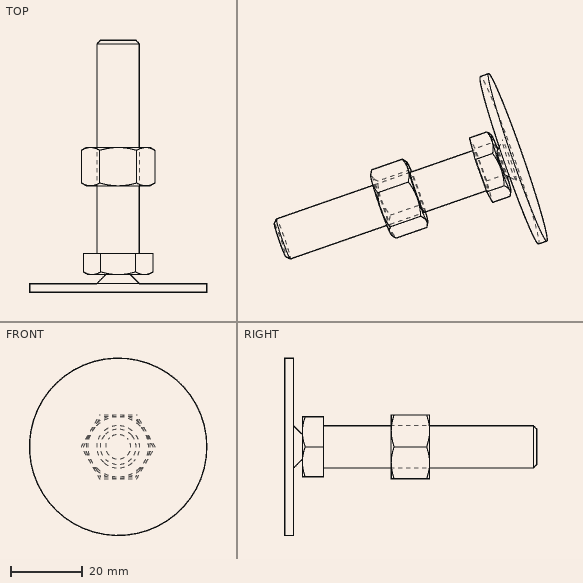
import cadquery as cq
import math


plate_diameter = 50.0
plate_thickness = 2.5

neck_length = 2.5
neck_base_diameter = 12.0
neck_top_diameter = 7.0
hexagon_across_flats = 17.0
hexagon_height = 6.0
rod_diameter = 12.0
rod_length = 60.0
rod_end_chamfer = 1.0

nut_across_flats = 18.0
nut_height = 10.8
nut_gap_above_hexagon = 19.0

hexagon_sides = 6
corner_chamfer_angle = math.radians(30.0)

neck_start = plate_thickness
hexagon_start = neck_start + neck_length
rod_start = hexagon_start + hexagon_height
nut_start = rod_start + nut_gap_above_hexagon


def plane_across_axis(y):
    """Workplane square to the Y axis, facing +Y."""
    return cq.Workplane(cq.Plane(origin=(0, y, 0), xDir=(1, 0, 0), normal=(0, 1, 0)))


def cylinder(diameter, start, length):
    """Cylinder around the Y axis, running from start towards +Y."""
    return plane_across_axis(start).circle(diameter / 2).extrude(length)


def chamfered_hexagon(across_flats, start, height, chamfer_far_end):
    """Hexagonal prism with corners on X, turned at its lower end and, if asked, its far end."""
    inner_radius = across_flats / 2
    corner_radius = inner_radius / math.cos(math.pi / hexagon_sides)
    chamfer_depth = (corner_radius - inner_radius) * math.tan(corner_chamfer_angle)
    end = start + height

    prism = plane_across_axis(start).polygon(hexagon_sides, 2 * corner_radius).extrude(height)

    envelope = (
        cq.Workplane("XY")
        .moveTo(0, start)
        .lineTo(inner_radius, start)
        .lineTo(corner_radius, start + chamfer_depth)
    )
    if chamfer_far_end:
        envelope = envelope.lineTo(corner_radius, end - chamfer_depth).lineTo(inner_radius, end)
    else:
        envelope = envelope.lineTo(corner_radius, end)
    envelope = envelope.lineTo(0, end).close().revolve(360, (0, 0), (0, 1))
    return prism.intersect(envelope)


def make_plate():
    return cylinder(plate_diameter, 0, plate_thickness)


def make_neck():
    """Cone that narrows from the plate to the hexagon."""
    return (
        cq.Workplane("XY")
        .moveTo(0, neck_start)
        .lineTo(neck_base_diameter / 2, neck_start)
        .lineTo(neck_top_diameter / 2, hexagon_start)
        .lineTo(0, hexagon_start)
        .close()
        .revolve(360, (0, 0), (0, 1))
    )


def make_stud():
    hexagon = chamfered_hexagon(hexagon_across_flats, hexagon_start, hexagon_height, chamfer_far_end=False)
    rod = cylinder(rod_diameter, rod_start, rod_length).faces(">Y").chamfer(rod_end_chamfer)
    return make_neck().union(hexagon).union(rod)


def make_nut():
    blank = chamfered_hexagon(nut_across_flats, nut_start, nut_height, chamfer_far_end=True)
    return blank.cut(cylinder(rod_diameter, nut_start, nut_height))


plate = make_plate()
stud = make_stud()
nut = make_nut()

result = cq.Compound.makeCompound([plate.val(), stud.val(), nut.val()])